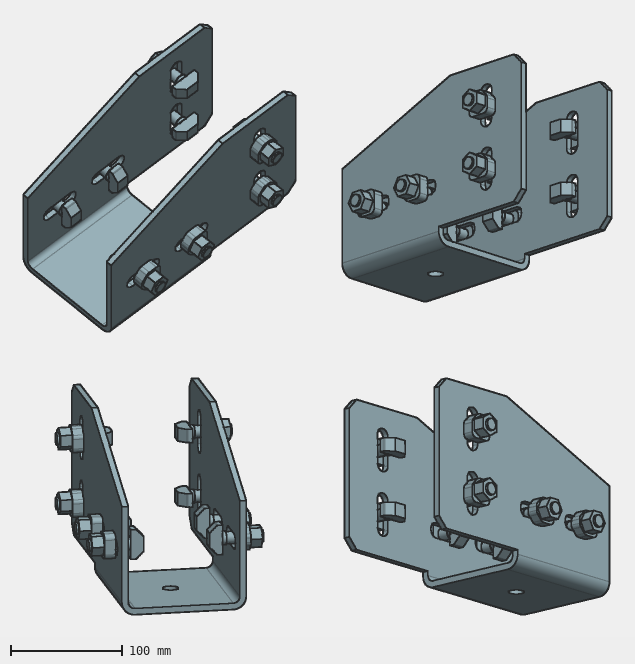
import cadquery as cq
import math


length = 230.0
height = 156.0
channel_width = 113.8
plate = 6.0
inner_bend_radius = 6.0
outer_bend_radius = inner_bend_radius + plate
floor_length = 124.0
floor_hole_diameter = 14.0

corner_chamfer = 10.0
notch_height = 16.0
top_edge_length = 91.0
slope_drop = 55.0

slot_width = 14.0
slot_length = 40.0
low_row_z = 56.1
row_spacing = 60.0
rear_slot_y = length - 45.0
front_slot_y = 40.0
middle_slot_y = front_slot_y + row_spacing

bolt_reach = 23.0
washer_thickness = 10.1
washer_side = 23.2
washer_corner_cut = 7.5
washer_corner_radius = 4.8
nut_thickness = 10.8
nut_across_flats = 18.0
shank_diameter = 11.0
collar_diameter = 12.5
collar_length = 4.0
shank_gap = 5.0
head_rim = 4.8
head_height = 12.0
head_rim_radius = 1.2
head_length = 27.5
head_nose_length = 13.3
head_width = 12.5
middle_bolt_y = 98.2


def channel_profile():
    """Solid U-section along the whole length, with rounded bends."""
    outer = (
        cq.Workplane("XY")
        .box(channel_width, length, height, centered=(True, False, False))
        .edges("|Y and <Z")
        .fillet(outer_bend_radius)
    )
    inner = (
        cq.Workplane("XY", origin=(0, 0, plate))
        .box(channel_width - 2 * plate, length, height, centered=(True, False, False))
        .edges("|Y and <Z")
        .fillet(inner_bend_radius)
    )
    return outer.cut(inner)


def side_outline():
    """Side shape of the bracket, as wide as the whole channel."""
    return (
        cq.Workplane("YZ")
        .moveTo(0, 0)
        .lineTo(floor_length, 0)
        .lineTo(floor_length, notch_height)
        .lineTo(length - corner_chamfer, notch_height)
        .lineTo(length, notch_height + corner_chamfer)
        .lineTo(length, height - corner_chamfer)
        .lineTo(length - corner_chamfer, height)
        .lineTo(length - top_edge_length, height)
        .lineTo(0, height - slope_drop)
        .close()
        .extrude(channel_width / 2, both=True)
    )


def slots(centres, angle):
    """Slot cutters that run through both side plates."""
    return (
        cq.Workplane("YZ")
        .pushPoints(centres)
        .slot2D(slot_length, slot_width, angle)
        .extrude(channel_width, both=True)
    )


def make_bracket():
    upright_slots = slots([(rear_slot_y, low_row_z), (rear_slot_y, low_row_z + row_spacing)], 90)
    level_slots = slots([(front_slot_y, low_row_z), (middle_slot_y, low_row_z)], 0)
    floor_hole = (
        cq.Workplane("XY")
        .center(0, floor_length / 2)
        .circle(floor_hole_diameter / 2)
        .extrude(plate)
    )
    return channel_profile().intersect(side_outline()).cut(upright_slots).cut(level_slots).cut(floor_hole)


def washer():
    """Rounded square with its two upper corners cut at 45 degrees."""
    half = washer_side / 2
    shoulder = half - washer_corner_cut
    return (
        cq.Workplane("YZ")
        .polyline([
            (-half, -half),
            (half, -half),
            (half, shoulder),
            (shoulder, half),
            (-shoulder, half),
            (-half, shoulder),
        ])
        .close()
        .extrude(washer_thickness)
        .edges("|X")
        .fillet(washer_corner_radius)
    )


def nut():
    """Hexagon nut with one corner pointing up."""
    across_corners = nut_across_flats / math.cos(math.pi / 6)
    return (
        cq.Workplane("YZ", origin=(washer_thickness, 0, 0))
        .transformed(rotate=(0, 0, 90))
        .polygon(6, across_corners)
        .extrude(nut_thickness)
    )


def make_bolt():
    """Bolt, nut and washer as one body; X = 0 is the outer plate face and +X points outwards."""
    collar_end = -plate - shank_gap
    head_base = collar_end - collar_length
    shank = (
        cq.Workplane("YZ", origin=(head_base, 0, 0))
        .circle(shank_diameter / 2)
        .extrude(bolt_reach - head_base)
    )
    collar = (
        cq.Workplane("YZ", origin=(head_base, 0, 0))
        .circle(collar_diameter / 2)
        .extrude(collar_length)
    )
    head = (
        cq.Workplane("XY")
        .polyline([
            (head_base, -head_length / 2),
            (head_base, head_length / 2),
            (head_base - head_rim, head_length / 2),
            (head_base - head_height, head_nose_length / 2),
            (head_base - head_height, -head_nose_length / 2),
            (head_base - head_rim, -head_length / 2),
        ])
        .close()
        .extrude(head_width / 2, both=True)
    )
    rim_edges = cq.selectors.BoxSelector(
        (head_base - head_rim - head_rim_radius, -head_length, -head_width),
        (head_base - head_rim + head_rim_radius, head_length, head_width),
    )
    head = head.edges("|Z").edges(rim_edges).fillet(head_rim_radius)
    return shank.union(collar).union(head).union(washer()).union(nut())


bracket = make_bracket()

bolt_places = [
    (rear_slot_y, low_row_z, 0),
    (rear_slot_y, low_row_z + row_spacing, 0),
    (front_slot_y, low_row_z, 90),
    (middle_bolt_y, low_row_z, 90),
]
bolts = []
for y, z, turn in bolt_places:
    turned_bolt = make_bolt().rotate((0, 0, 0), (1, 0, 0), turn)
    for side, facing in ((1, 0), (-1, 180)):
        facing_bolt = turned_bolt.rotate((0, 0, 0), (0, 0, 1), facing)
        bolts.append(facing_bolt.translate((side * channel_width / 2, y, z)).val())

result = cq.Compound.makeCompound([bracket.val(), *bolts])